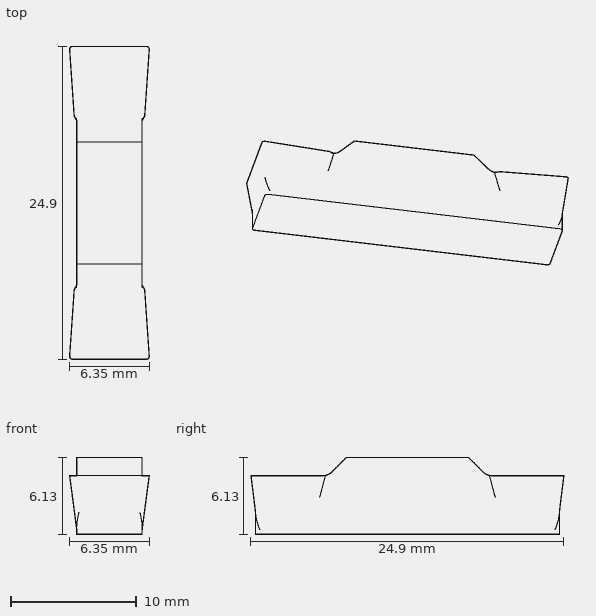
import cadquery as cq
import math

length = 24.92
top_z = 6.13
rake_z = 4.68
edge_width = 6.35
body_width = 5.2
clearance_angle = 7.0
relief_bottom_z = 1.82
plateau_length = 9.72
ramp_angle = 45.0
ramp_radius = 1.0
corner_radius = 0.25
heel_radius = 0.25
heel_half_width = 2.82
heel_y = 6.93
heel_end_y = 6.53
corner_overhang = 0.017

half_length = length / 2
half_body = body_width / 2
half_edge = edge_width / 2 + corner_overhang
relief_inset = (rake_z - relief_bottom_z) * math.tan(math.radians(clearance_angle))
body_half_length = half_length - relief_inset
plateau_half = plateau_length / 2
ramp_foot_y = plateau_half + (top_z - rake_z) / math.tan(math.radians(ramp_angle))


def make_body():
    """Straight body with a raised plateau and rounded end corners."""
    outline = [
        (-body_half_length, 0),
        (body_half_length, 0),
        (body_half_length, rake_z),
        (ramp_foot_y, rake_z),
        (plateau_half, top_z),
        (-plateau_half, top_z),
        (-ramp_foot_y, rake_z),
        (-body_half_length, rake_z),
    ]
    body = cq.Workplane("YZ").polyline(outline).close().extrude(half_body, both=True)
    for foot_y in (-ramp_foot_y, ramp_foot_y):
        ramp_foot = cq.selectors.NearestToPointSelector((0, foot_y, rake_z))
        body = body.edges(ramp_foot).fillet(ramp_radius)
    return body.edges("|Z").fillet(corner_radius)


def make_head():
    """Cutting head at the +Y end, relieved on its end and both flanks."""
    heel_slope = (heel_half_width - half_body) / (heel_y - heel_end_y)
    inner_half = half_body / 2
    inner_y = heel_end_y - (half_body - inner_half) / heel_slope
    right_side = [(inner_half, inner_y), (heel_half_width, heel_y), (half_edge, half_length)]
    left_side = [(-x, y) for x, y in reversed(right_side)]
    head = (
        cq.Workplane("XY")
        .workplane(offset=rake_z)
        .polyline(right_side + left_side)
        .close()
        .extrude(-rake_z, taper=clearance_angle)
    )
    heel_edges = head.edges("not #Z").sort(lambda edge: edge.Center().y)[2:4]
    head = heel_edges.fillet(heel_radius)
    end_corners = head.faces(">Y").edges("not #Z")
    return end_corners.fillet(corner_radius)


head = make_head()
result = make_body().union(head).union(head.mirror("XZ"))